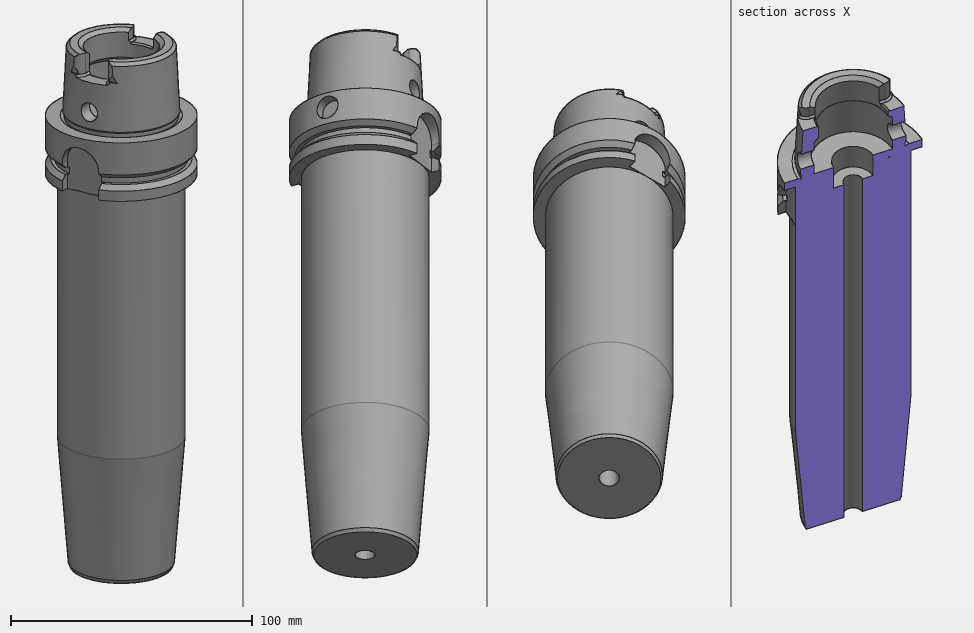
import cadquery as cq
import math

TOTAL_HEIGHT = 232.0
FLANGE_TOP = 200.0
FLANGE_BOTTOM = 174.0
NOSE_TAPER_TOP = 57.3
NOSE_CHAMFER_HEIGHT = 1.6
NOSE_CHAMFER_WIDTH = 0.7

NOSE_RADIUS = 22.0
SHAFT_RADIUS = 26.5
FLANGE_RADIUS = 62.8 / 2

GROOVE_RADIUS = 27.5
GROOVE_STEP_RADIUS = 29.2
GROOVE_CENTRE = 182.0
GROOVE_MOUTH = 7.2
GROOVE_FLOOR = 3.0

SHANK_BASE_RADIUS = 48.5 / 2
SHANK_BASE = 201.8
SHANK_SLOPE = 0.05
SHANK_CHAMFER_HEIGHT = 1.5
RIM_RADIUS = 21.3
UNDERCUT_NECK_RADIUS = 23.7
UNDERCUT_OUTER_RADIUS = 25.3
UNDERCUT_DEPTH = 0.7

MOUTH_RADIUS = 17.9
MOUTH_CHAMFER_HEIGHT = 1.5
LIP_RADIUS = 15.8
LIP_BOTTOM = 219.4
CAVITY_RADIUS = MOUTH_RADIUS
CAVITY_FLOOR = FLANGE_TOP
TUBE_SEAT_RADIUS = 17.9 / 2
TUBE_SEAT_DEPTH = 11.5
THROUGH_RADIUS = 4.2

CROSS_HOLE_RADIUS = 8.1 / 2
CROSS_HOLE_LEVEL = 209.0

SLOT_HALF_WIDTH = 12.3 / 2
SLOT_MOUTH_RADIUS = 3.5
SLOT_SHOULDER = 41.5 / 2
FRONT_SLOT_FLOOR = 222.0
BACK_SLOT_FLOOR = 226.0
SHOULDER_STEP = 1.2
RELIEF_DEPTH = 0.7
RELIEF_HEIGHT = 2.5
CHANNEL_HALF_WIDTH = 8.5
CHANNEL_CHAMFER = 1.0
FLOOR_BEVEL = 0.7

KEYWAY_HALF_WIDTH = 9.0
KEYWAY_CENTRE = 186.5

RIM_HOLE_RADIUS = 10.0 / 2
RIM_HOLE_LEVEL = 193.2
RIM_HOLE_FLOOR = SHAFT_RADIUS


def revolve_profile(profile):
    """Full turn about Z of (radius, height) points."""
    points = [(-radius, height) for radius, height in profile]
    return cq.Workplane("YZ").polyline(points).close().revolve(360, (0, 0), (0, 1))


def make_body():
    chamfer_bottom = TOTAL_HEIGHT - SHANK_CHAMFER_HEIGHT
    shank_top_radius = SHANK_BASE_RADIUS - SHANK_SLOPE * (chamfer_bottom - SHANK_BASE)
    profile = [
        (0, 0),
        (NOSE_RADIUS - NOSE_CHAMFER_WIDTH, 0),
        (NOSE_RADIUS, NOSE_CHAMFER_HEIGHT),
        (SHAFT_RADIUS, NOSE_TAPER_TOP),
        (SHAFT_RADIUS, FLANGE_BOTTOM),
        (FLANGE_RADIUS, FLANGE_BOTTOM),
        (FLANGE_RADIUS, GROOVE_CENTRE - GROOVE_MOUTH / 2),
        (GROOVE_STEP_RADIUS, GROOVE_CENTRE - GROOVE_FLOOR / 2),
        (GROOVE_RADIUS, GROOVE_CENTRE - GROOVE_FLOOR / 2),
        (GROOVE_RADIUS, GROOVE_CENTRE + GROOVE_FLOOR / 2),
        (GROOVE_STEP_RADIUS, GROOVE_CENTRE + GROOVE_FLOOR / 2),
        (FLANGE_RADIUS, GROOVE_CENTRE + GROOVE_MOUTH / 2),
        (FLANGE_RADIUS, FLANGE_TOP),
        (UNDERCUT_OUTER_RADIUS, FLANGE_TOP),
        (UNDERCUT_NECK_RADIUS, FLANGE_TOP - UNDERCUT_DEPTH),
        (UNDERCUT_NECK_RADIUS, SHANK_BASE - UNDERCUT_DEPTH),
        (SHANK_BASE_RADIUS, SHANK_BASE),
        (shank_top_radius, chamfer_bottom),
        (RIM_RADIUS, TOTAL_HEIGHT),
        (0, TOTAL_HEIGHT),
    ]
    return revolve_profile(profile)


def make_bores():
    tube_seat_floor = CAVITY_FLOOR - TUBE_SEAT_DEPTH
    undercut_end = LIP_BOTTOM - (CAVITY_RADIUS - LIP_RADIUS)
    profile = [
        (0, 0),
        (THROUGH_RADIUS, 0),
        (THROUGH_RADIUS, tube_seat_floor),
        (TUBE_SEAT_RADIUS, tube_seat_floor),
        (TUBE_SEAT_RADIUS, CAVITY_FLOOR),
        (CAVITY_RADIUS, CAVITY_FLOOR),
        (CAVITY_RADIUS, undercut_end),
        (LIP_RADIUS, LIP_BOTTOM),
        (LIP_RADIUS, TOTAL_HEIGHT - MOUTH_CHAMFER_HEIGHT),
        (MOUTH_RADIUS, TOTAL_HEIGHT),
        (0, TOTAL_HEIGHT),
    ]
    return revolve_profile(profile)


def make_cross_hole():
    return (
        cq.Workplane("XZ")
        .center(0, CROSS_HOLE_LEVEL)
        .circle(CROSS_HOLE_RADIUS)
        .extrude(SHANK_BASE_RADIUS, both=True)
    )


def flared_slot(bottom):
    """Cutter on the -Y side whose walls round outward to a shoulder facing -Y."""
    reach = FLANGE_RADIUS
    round_x = SLOT_HALF_WIDTH + SLOT_MOUTH_RADIUS
    round_y = SLOT_SHOULDER - SLOT_MOUTH_RADIUS
    arc_middle = SLOT_MOUTH_RADIUS * math.sqrt(0.5)
    arc_x = round_x - arc_middle
    arc_y = round_y + arc_middle
    return (
        cq.Workplane("XY")
        .workplane(offset=bottom)
        .lineTo(-SLOT_HALF_WIDTH, 0)
        .lineTo(-SLOT_HALF_WIDTH, -round_y)
        .threePointArc((-arc_x, -arc_y), (-round_x, -SLOT_SHOULDER))
        .lineTo(-reach, -SLOT_SHOULDER)
        .lineTo(-reach, -reach)
        .lineTo(reach, -reach)
        .lineTo(reach, -SLOT_SHOULDER)
        .lineTo(round_x, -SLOT_SHOULDER)
        .threePointArc((arc_x, -arc_y), (SLOT_HALF_WIDTH, -round_y))
        .lineTo(SLOT_HALF_WIDTH, 0)
        .close()
        .extrude(TOTAL_HEIGHT - bottom)
    )


def slot_block(half_width, bottom):
    """Block from the axis out past the -Y side, open at the rim."""
    block = cq.Workplane("XY").box(
        2 * half_width, FLANGE_RADIUS, TOTAL_HEIGHT - bottom, centered=(True, False, False)
    )
    return block.translate((0, -FLANGE_RADIUS, bottom))


def make_drive_slot(floor):
    """Flared slot with a chamfered channel, undercut shoulders and a bevelled inner floor edge."""
    shoulder_floor = floor + SHOULDER_STEP
    relief_top = shoulder_floor + RELIEF_HEIGHT
    channel = slot_block(CHANNEL_HALF_WIDTH, floor).intersect(flared_slot(floor))
    channel = channel.faces("<Z").chamfer(CHANNEL_CHAMFER)
    relief_profile = [
        (-SLOT_SHOULDER, relief_top),
        (-SLOT_SHOULDER + RELIEF_DEPTH, shoulder_floor),
        (-FLANGE_RADIUS, shoulder_floor),
        (-FLANGE_RADIUS, relief_top),
    ]
    relief = cq.Workplane("YZ").polyline(relief_profile).close().extrude(FLANGE_RADIUS, both=True)
    bevel_profile = [
        (0, floor - FLOOR_BEVEL),
        (LIP_RADIUS, floor - FLOOR_BEVEL),
        (LIP_RADIUS + FLOOR_BEVEL, floor),
        (0, floor),
    ]
    bevel_half_width = SLOT_HALF_WIDTH - CHANNEL_CHAMFER
    bevel = revolve_profile(bevel_profile).intersect(slot_block(bevel_half_width, floor - FLOOR_BEVEL))
    return flared_slot(shoulder_floor).union(channel).union(relief).union(bevel)


def make_keyway():
    """Round-topped cut on the -Y side, flush with the shaft at its deepest."""
    depth = FLANGE_RADIUS - SHAFT_RADIUS
    plane = cq.Workplane("XZ", origin=(0, -SHAFT_RADIUS, 0))
    outline = (
        plane.moveTo(-KEYWAY_HALF_WIDTH, FLANGE_BOTTOM)
        .lineTo(KEYWAY_HALF_WIDTH, FLANGE_BOTTOM)
        .lineTo(KEYWAY_HALF_WIDTH, KEYWAY_CENTRE)
        .threePointArc((0, KEYWAY_CENTRE + KEYWAY_HALF_WIDTH), (-KEYWAY_HALF_WIDTH, KEYWAY_CENTRE))
        .close()
    )
    return outline.extrude(depth)


def make_rim_hole():
    return (
        cq.Workplane("YZ", origin=(-FLANGE_RADIUS, 0, RIM_HOLE_LEVEL))
        .circle(RIM_HOLE_RADIUS)
        .extrude(FLANGE_RADIUS - RIM_HOLE_FLOOR)
    )


def opposite(shape):
    return shape.rotate((0, 0, 0), (0, 0, 1), 180)


result = make_body().cut(make_bores()).cut(make_cross_hole())
result = result.cut(make_drive_slot(FRONT_SLOT_FLOOR))
result = result.cut(opposite(make_drive_slot(BACK_SLOT_FLOOR)))
result = result.cut(make_keyway()).cut(opposite(make_keyway()))
result = result.cut(make_rim_hole())